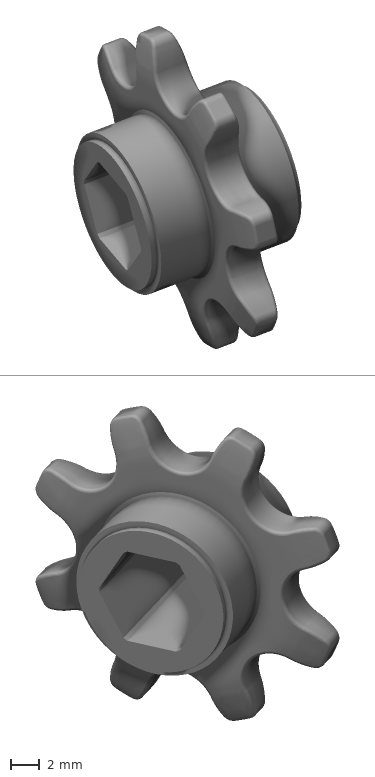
import cadquery as cq
import math


tooth_count = 8
pitch_radius = 10.46
seat_radius = 2.5
seat_half_angle = 69.0
flank_radius = 6.0
tip_radius = 11.95
tip_corner_radius = 0.72

disc_half_width = 1.4
crown_start_radius = 8.3
crown_radius = 11.55
edge_fillet = 0.25
rim_clearance = 0.23

hub_radius = 6.0
hub_length = 12.0
end_step_radius = 5.5
end_step_length = 0.5
collar_width = 0.25
collar_height = 0.14
hex_across_flats = 7.11
bore_corner_radius = 4.0


def polar(radius, angle, center=(0.0, 0.0)):
    """Point at a distance and angle (radians) from a centre."""
    return (center[0] + radius * math.cos(angle), center[1] + radius * math.sin(angle))


def flank_points():
    """Start, middle and end of one flank, for a hollow centred on the angle zero."""
    seat_center = (pitch_radius, 0.0)
    start_angle = math.pi - math.radians(seat_half_angle)
    flank_center = polar(seat_radius + flank_radius, start_angle, seat_center)
    center_distance = math.hypot(*flank_center)
    inward_angle = math.atan2(-flank_center[1], -flank_center[0])
    tip_cosine = (center_distance**2 + flank_radius**2 - tip_radius**2) / (
        2 * center_distance * flank_radius
    )
    end_angle = inward_angle + math.acos(tip_cosine)
    start_on_flank = start_angle - math.pi
    return [
        polar(flank_radius, angle, flank_center)
        for angle in (start_on_flank, (start_on_flank + end_angle) / 2, end_angle)
    ]


def rotate(point, angle):
    """Point turned about the axis by an angle in radians."""
    return polar(math.hypot(*point), math.atan2(point[1], point[0]) + angle)


def mirror(point):
    """Point with its second coordinate negated."""
    return (point[0], -point[1])


def toothed_blank():
    """Straight-sided toothed plate with rounded tip corners."""
    start, middle, end = flank_points()
    tooth_angle = 2 * math.pi / tooth_count
    hollow_bottom = (pitch_radius - seat_radius, 0.0)
    outline = cq.Workplane("XZ").moveTo(*mirror(end))
    for index in range(tooth_count):
        turn = index * tooth_angle
        outline = (
            outline.threePointArc(rotate(mirror(middle), turn), rotate(mirror(start), turn))
            .threePointArc(rotate(hollow_bottom, turn), rotate(start, turn))
            .threePointArc(rotate(middle, turn), rotate(end, turn))
            .threePointArc(polar(tip_radius, turn + tooth_angle / 2), rotate(mirror(end), turn + tooth_angle))
        )
    blank = outline.close().extrude(disc_half_width, both=True)
    tip_corners = [
        edge for edge in blank.edges("|Y").vals()
        if math.isclose(math.hypot(edge.Center().x, edge.Center().z), tip_radius, abs_tol=0.002)
    ]
    return blank.newObject(tip_corners).fillet(tip_corner_radius)


def crowned_disc():
    """Plain disc whose side faces curve inward towards the rim."""
    rim_radius = tip_radius + rim_clearance
    half_reach = (rim_radius - crown_start_radius) / 2

    def half_width(reach):
        return disc_half_width - crown_radius + math.sqrt(crown_radius**2 - reach**2)

    middle = (crown_start_radius + half_reach, half_width(half_reach))
    rim = (rim_radius, half_width(2 * half_reach))
    return (
        cq.Workplane("XY")
        .moveTo(0, -disc_half_width)
        .lineTo(crown_start_radius, -disc_half_width)
        .threePointArc(mirror(middle), mirror(rim))
        .lineTo(*rim)
        .threePointArc(middle, (crown_start_radius, disc_half_width))
        .lineTo(0, disc_half_width)
        .close()
        .revolve(360, (0, 0, 0), (0, 1, 0))
    )


def toothed_disc():
    """Crowned teeth with all outline edges rounded."""
    disc = toothed_blank().intersect(crowned_disc())

    def is_crown_start(edge):
        return edge.geomType() == "CIRCLE" and math.isclose(edge.radius(), crown_start_radius)

    outline_edges = [edge for edge in disc.edges("not(|Y)").vals() if not is_crown_start(edge)]
    return disc.newObject(outline_edges).fillet(edge_fillet)


def hub():
    """Stepped hub with a sloped collar on both sides of the disc."""
    half_length = hub_length / 2
    shoulder = half_length - end_step_length
    half_section = [
        (hub_radius + collar_width, disc_half_width),
        (hub_radius, disc_half_width + collar_height),
        (hub_radius, shoulder),
        (end_step_radius, shoulder),
        (end_step_radius, half_length),
        (0, half_length),
    ]
    section = half_section + [mirror(point) for point in reversed(half_section)]
    return cq.Workplane("XY").polyline(section).close().revolve(360, (0, 0, 0), (0, 1, 0))


def hex_bore():
    """Through bore: a hexagon with its corners trimmed by a round bore."""
    across_corners = hex_across_flats / math.cos(math.pi / 6)
    hexagon = cq.Workplane("XZ").polygon(6, across_corners).extrude(hub_length / 2, both=True)
    corner_trim = cq.Workplane("XZ").circle(bore_corner_radius).extrude(hub_length / 2, both=True)
    return hexagon.intersect(corner_trim)


result = toothed_disc().union(hub()).cut(hex_bore())